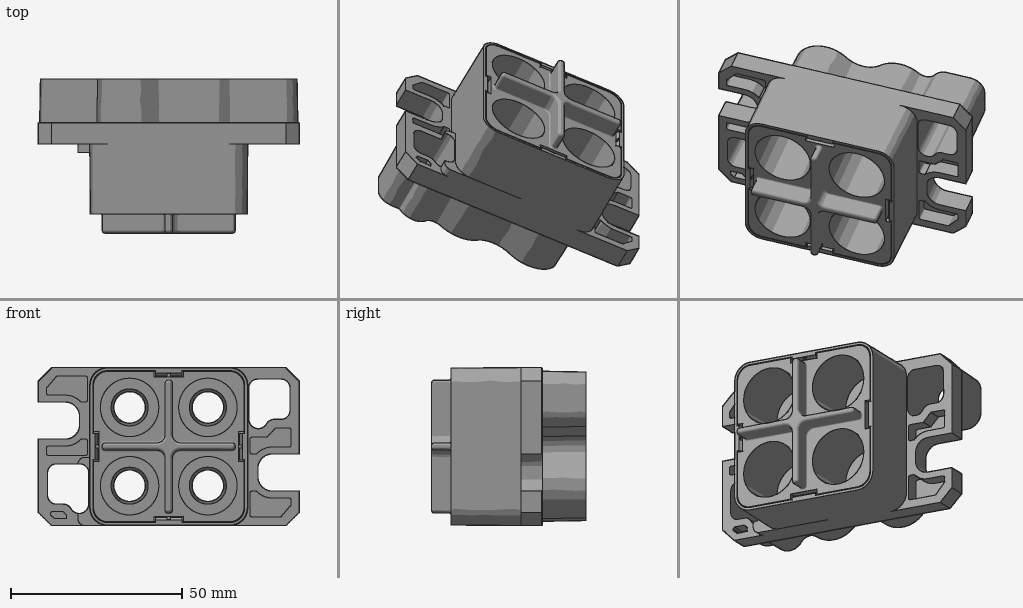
import cadquery as cq
import math


flange_width = 76.2
flange_height = 46.2
flange_thickness = 6.3
flange_corner = 3.9
flange_rear_chamfer = 0.2

box_half = flange_height / 2
box_depth = 20.4
box_corner_radius = 5.25
box_draft = 0.15
pocket_half = 22.2
insert_gap = 0.2
insert_half = pocket_half - insert_gap
pocket_corner_radius = 4.35

bore_pitch = 22.85
bore_diameter = 17.1
hole_front_diameter = 10.8
hole_rear_diameter = 9.15

shell_depth = 12.7
shell_draft = 0.2
shell_wall = 2.4
bore_lobe_radius = 9.6
middle_cove_radius = 7.8
corner_cove_radius = 3.35
side_cove_radius = 4.9

window_left = 23.4
window_right = 35.35
window_top = 19.65
window_bottom = 8.0
window_tail_bottom = 5.25
window_radius = 2.5
window_tail_radius = 2.75
window_cove_radius = 2.7
window_drop = 24.8

slot_floor = 26.05
slot_low = 2.2
slot_high = 12.95
slot_radius = 4.1

relief_depth = 4.6
relief_inner = 23.7
relief_outer = 35.7
relief_far_height = 20.6
relief_radius = 0.7
relief_wall = 2.05
relief_corner = (2.7, 3.1)
lower_relief_floor = -2.6
step_relief_low_top = 2.75
step_relief_high_top = 5.4
step_relief_ramp = (28.65, 31.2)
small_relief_points = [
    (-34.5, -20.0), (-34.5, -19.5), (-34.1, -18.9), (-30.9, -18.9),
    (-29.9, -20.0), (-29.9, -21.0), (-33.2, -21.0),
]

pad_outer = 26.5
pad_top = -3.1
pad_height = 2.5
pad_radius = 2.05

latch_width = 7.8
latch_front_height = 21.5
latch_tip_height = 20.65
latch_ramp_depth = 1.5
latch_depth = 3.05
latch_split_width = 0.9
latch_split_root = 21.3
notch_width = 8.7
notch_floor = 20.35
notch_depth = latch_depth + insert_gap

rib_half_length = 19.4
rib_half_width = 1.1
rib_height = 5.65
rib_edge_radius = 0.9
rib_cove_radius = 2.45
rib_root_radius = 0.45

shell_rear = flange_thickness + shell_depth
shortest_stretch = 7.62e-07
bore_offset = bore_pitch / 2
bore_centers = [(x, z) for x in (-bore_offset, bore_offset) for z in (-bore_offset, bore_offset)]
flange_end = flange_width / 2
slot_center_height = (slot_low + slot_high) / 2
slot_arc_x = slot_floor + slot_radius
slot_arc_offset = (slot_high - slot_low) / 2 - slot_radius



def tangent_points(first, second):
    """Ends of the straight stretch that leaves the first circle and joins the second."""
    dx = second[0] - first[0]
    dz = second[1] - first[1]
    distance = math.hypot(dx, dz)
    along = max(-1.0, min(1.0, (first[2] - second[2]) / distance))
    across = math.sqrt(1 - along ** 2)
    nx = (along * dx + across * dz) / distance
    nz = (along * dz - across * dx) / distance
    return tuple((c[0] + c[2] * nx, c[1] + c[2] * nz) for c in (first, second))


def outline_on(plane, circles):
    """Closed outline made of the circles' arcs and their common tangent lines."""
    count = len(circles)
    spans = [tangent_points(circles[i], circles[(i + 1) % count]) for i in range(count)]
    path = plane.moveTo(*spans[-1][1])
    for (x, z, radius), before, after in zip(circles, spans[-1:] + spans[:-1], spans):
        start = before[1]
        end = after[0]
        if math.dist(start, end) > shortest_stretch:
            start_angle = math.atan2(start[1] - z, start[0] - x)
            sweep = math.atan2(end[1] - z, end[0] - x) - start_angle
            turn = sweep % math.tau if radius > 0 else -((-sweep) % math.tau)
            middle = start_angle + turn / 2
            reach = abs(radius)
            path = path.threePointArc((x + reach * math.cos(middle), z + reach * math.sin(middle)), end)
        if math.dist(*after) > shortest_stretch:
            path = path.lineTo(*after[1])
    return path.close()


def section(y):
    return cq.Workplane("XZ", origin=(0, y, 0))


def prism(circles, front, rear):
    return outline_on(section(rear), circles).extrude(rear - front)


def grown(circles, amount):
    return [(x, z, radius + amount) for x, z, radius in circles]


def drafted(circles, base, end, draft):
    """Solid whose outline shrinks evenly by the draft from base to end."""
    base_outline = outline_on(section(base), circles)
    return outline_on(base_outline.workplane(offset=base - end), grown(circles, -draft)).loft(ruled=True)


def mirrored(circles):
    return [(-x, z, radius) for x, z, radius in reversed(circles)]


def half_turned(circles):
    return [(-x, -z, radius) for x, z, radius in circles]


def rounded_rectangle(left, right, bottom, top, radius):
    return [
        (right - radius, bottom + radius, radius),
        (right - radius, top - radius, radius),
        (left + radius, top - radius, radius),
        (left + radius, bottom + radius, radius),
    ]


def cove_between(first, second, radius):
    """Concave circle touching two convex ones, on the outer side of the chain."""
    reach_first = first[2] + radius
    reach_second = second[2] + radius
    dx = second[0] - first[0]
    dz = second[1] - first[1]
    distance = math.hypot(dx, dz)
    along = (reach_first ** 2 - reach_second ** 2 + distance ** 2) / (2 * distance)
    across = math.sqrt(reach_first ** 2 - along ** 2)
    x = first[0] + (along * dx + across * dz) / distance
    z = first[1] + (along * dz - across * dx) / distance
    return (x, z, -radius)



def right_window():
    inner_x = window_left + window_radius
    outer_x = window_right - window_radius
    upper_z = window_top - window_radius
    tail = (window_left + window_tail_radius, window_tail_bottom + window_tail_radius, window_tail_radius)
    cove_z = window_bottom - window_cove_radius
    cove_reach = window_tail_radius + window_cove_radius
    cove_x = tail[0] + math.sqrt(cove_reach ** 2 - (tail[1] - cove_z) ** 2)
    return [
        (outer_x, window_bottom + window_radius, window_radius),
        (outer_x, upper_z, window_radius),
        (inner_x, upper_z, window_radius),
        tail,
        (cove_x, cove_z, -window_cove_radius),
    ]


def left_window():
    return [(x, z - window_drop, radius) for x, z, radius in mirrored(right_window())]


def shell_outline():
    right = grown(right_window(), shell_wall)
    left = grown(left_window(), shell_wall)
    left_cove, left_tail, left_inner, left_upper, left_lower = left
    upper_left, upper_right, lower_left, lower_right = [
        (x, z, bore_lobe_radius)
        for x, z in [(-bore_offset, bore_offset), (bore_offset, bore_offset),
                     (-bore_offset, -bore_offset), (bore_offset, -bore_offset)]
    ]
    return [
        *right[:3],
        cove_between(right[2], upper_right, corner_cove_radius),
        upper_right,
        cove_between(upper_right, upper_left, middle_cove_radius),
        upper_left,
        cove_between(upper_left, left_inner, side_cove_radius),
        left_inner,
        left_upper,
        left_lower,
        left_cove,
        left_tail,
        cove_between(left_tail, lower_left, corner_cove_radius),
        lower_left,
        cove_between(lower_left, lower_right, middle_cove_radius),
        lower_right,
        cove_between(lower_right, right[3], side_cove_radius),
        *right[3:],
    ]



def flange():
    plate = section(flange_thickness).rect(flange_width, flange_height).extrude(flange_thickness)
    plate = plate.edges("|Y").chamfer(flange_corner)
    return plate.faces(">Y").chamfer(flange_rear_chamfer)


def box():
    outline = rounded_rectangle(-box_half, box_half, -box_half, box_half, box_corner_radius)
    return drafted(outline, 0, -box_depth, box_draft)


def shell():
    return drafted(shell_outline(), flange_thickness, shell_rear, shell_draft)


def pad():
    outline = rounded_rectangle(-pad_outer, 0, -box_half, pad_top, pad_radius)
    return prism(outline, -pad_height, 0)


def mounting_slots():
    outline = rounded_rectangle(-flange_end - 2 * slot_radius, -slot_floor, slot_low, slot_high, slot_radius)
    return [prism(shape, 0, flange_thickness) for shape in (outline, half_turned(outline))]


def slot_side_curve(arc_z, edge_z):
    """Concave arc at even distance from a slot corner, and the sharp point where it ends."""
    radius = slot_radius + relief_wall
    end_x = -slot_arc_x + math.sqrt(radius ** 2 - (edge_z - arc_z) ** 2)
    return (-slot_arc_x, arc_z, -radius), (end_x, edge_z, 0)


def corner_relief():
    """Pocket above the left slot, cut off along the flange corner."""
    arc_z = slot_center_height + slot_arc_offset
    cove, point = slot_side_curve(arc_z, slot_high)
    inner_x = -relief_inner - relief_radius
    outer_x = -relief_outer + relief_radius
    top_z = relief_far_height - relief_radius
    cut_x, cut_z = relief_corner
    return [
        (inner_x, point[1] + relief_radius, relief_radius),
        (inner_x, top_z, relief_radius),
        (outer_x + cut_x, top_z, relief_radius),
        (outer_x, top_z - cut_z, relief_radius),
        (outer_x, arc_z - cove[2] + relief_radius, relief_radius),
        cove,
        point,
    ]


def lower_relief():
    """Pocket below the left slot."""
    arc_z = slot_center_height - slot_arc_offset
    cove, point = slot_side_curve(arc_z, slot_low)
    inner_x = -relief_inner - relief_radius
    outer_x = -relief_outer + relief_radius
    floor_z = lower_relief_floor + relief_radius
    return [
        (inner_x, floor_z, relief_radius),
        (inner_x, point[1] - relief_radius, relief_radius),
        point,
        cove,
        (outer_x, arc_z + cove[2] - relief_radius, relief_radius),
        (outer_x, floor_z, relief_radius),
    ]


def step_relief():
    """Pocket above the right slot, with a stepped top under the right window."""
    arc_z = slot_center_height - slot_arc_offset
    cove, point = slot_side_curve(arc_z, slot_low)
    cove, point, inner, outer = half_turned([
        cove,
        point,
        (-relief_inner - relief_radius, point[1] - relief_radius, relief_radius),
        (-relief_outer + relief_radius, arc_z + cove[2] - relief_radius, relief_radius),
    ])
    ramp_foot, ramp_head = step_relief_ramp
    return [
        outer,
        (outer[0], step_relief_high_top - relief_radius, relief_radius),
        (ramp_head, step_relief_high_top, 0),
        (ramp_foot, step_relief_low_top, 0),
        (inner[0], step_relief_low_top - relief_radius, relief_radius),
        inner,
        point,
        cove,
    ]


def reliefs():
    outlines = [corner_relief(), half_turned(corner_relief()), lower_relief(), step_relief()]
    cuts = [prism(outline, 0, relief_depth) for outline in outlines]
    small = section(0).polyline(small_relief_points).close().extrude(-relief_depth)
    return [*cuts, small]


def insert_pocket():
    outline = rounded_rectangle(-pocket_half, pocket_half, -pocket_half, pocket_half, pocket_corner_radius)
    return prism(outline, -box_depth, 0)


def contact_hole(x, z):
    radii = (hole_front_diameter / 2, hole_rear_diameter / 2)
    return cq.Workplane(cq.Solid.makeCone(*radii, shell_rear, pnt=(x, 0, z), dir=(0, 1, 0)))


def latch():
    """Latch under the upper pocket wall: a front ramp down to the tip, split in the middle."""
    front = -box_depth
    tip = front + latch_ramp_depth
    rear = front + latch_depth
    profile = [
        (front, pocket_half), (front, latch_front_height),
        (tip, latch_tip_height), (rear, latch_tip_height), (rear, pocket_half),
    ]
    block = cq.Workplane("YZ").polyline(profile).close().extrude(latch_width / 2, both=True)
    split = cq.Workplane("XY").box(
        latch_split_width, 2 * latch_depth, latch_split_root - latch_tip_height, centered=(True, True, False)
    )
    return block.cut(split.translate((0, front, latch_tip_height)))


def around_four_sides(shape):
    return [shape.rotate((0, 0, 0), (0, 1, 0), 90 * turn) for turn in range(4)]


def make_housing():
    body = flange().union(box()).union(shell()).union(pad())
    body = body.cut(insert_pocket())
    for window in (right_window(), left_window()):
        body = body.cut(prism(window, -pad_height, shell_rear))
    for cut in [*mounting_slots(), *reliefs()]:
        body = body.cut(cut)
    for x, z in bore_centers:
        body = body.cut(contact_hole(x, z))
    for side_latch in around_four_sides(latch()):
        body = body.union(side_latch)
    return body



def cross_rib():
    tip = rib_half_length - rib_edge_radius
    side = rib_half_width - rib_edge_radius
    cove = rib_half_width + rib_cove_radius
    quarter = [
        (tip, -side, rib_edge_radius), (tip, side, rib_edge_radius), (cove, cove, -rib_cove_radius),
    ]
    outline = list(quarter)
    for _ in range(3):
        quarter = [(-z, x, radius) for x, z, radius in quarter]
        outline += quarter
    front = -box_depth - rib_height
    return prism(outline, front, -box_depth).faces("<Y").edges().fillet(rib_edge_radius)


def make_insert():
    radius = pocket_corner_radius - insert_gap
    outline = rounded_rectangle(-insert_half, insert_half, -insert_half, insert_half, radius)
    body = prism(outline, -box_depth, 0)
    body = body.union(cross_rib())
    reach = rib_half_length + insert_gap
    root = cq.selectors.BoxSelector(
        (-reach, -box_depth - insert_gap, -reach), (reach, -box_depth + insert_gap, reach)
    )
    body = body.edges(root).fillet(rib_root_radius)
    notch = cq.Workplane("XY").box(
        notch_width, notch_depth, insert_half - notch_floor, centered=(True, False, False)
    )
    for side_notch in around_four_sides(notch.translate((0, -box_depth, notch_floor))):
        body = body.cut(side_notch)
    body = body.cut(section(0).pushPoints(bore_centers).circle(bore_diameter / 2).extrude(box_depth))
    return body


housing = make_housing()
insert = make_insert()
result = cq.Compound.makeCompound([housing.solids().val(), insert.solids().val()])